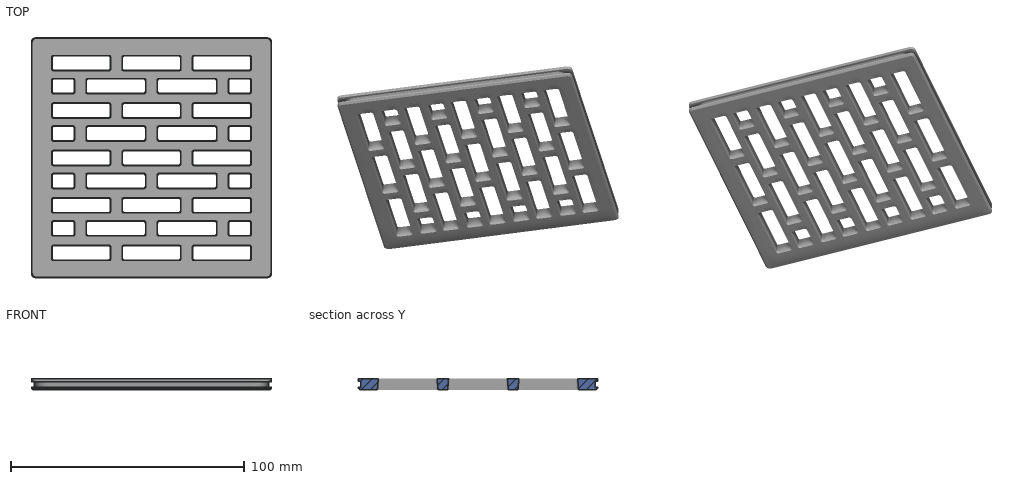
import cadquery as cq

side = 102.7
height = 4.8
corner_radius = 2.0

flange_height = 1.2
flange_chamfer = 0.77
lid_height = 1.3
core_height = height - flange_height - lid_height

groove_depth = 1.0
core_corner_radius = 6.4

slot_height = 6.3
slot_radius = 0.7
slot_draft = 5.0

course_count = 9
course_pitch = 10.2
field_shift = -0.1
offset_course_shift = 0.3
field_width = 85.3
slot_gap = 5.1
full_slot_length = (field_width - 2 * slot_gap) / 3
offset_slot_length = 25.4
end_slot_length = (field_width - 2 * offset_slot_length - 3 * slot_gap) / 2


def rounded_plate(width, radius, thickness, base):
    """Square plate with rounded corners, standing on the height base."""
    plate = cq.Workplane("XY").box(width, width, thickness, centered=(True, True, False))
    return plate.edges("|Z").fillet(radius).translate((0, 0, base))


def tapered_slot(length, x, y):
    """Cutter for one through slot, drafted outward from the top face down."""
    outline = cq.Sketch().rect(length, slot_height).vertices().fillet(slot_radius)
    top_face = cq.Workplane("XY", origin=(x, y, height))
    return top_face.placeSketch(outline).extrude(-height, taper=-slot_draft)


def slot_course(lengths, y):
    """Cutters for one row of slots, centred on X = 0 and separated by slot_gap."""
    cutters = []
    left = -field_width / 2
    for length in lengths:
        cutters.append(tapered_slot(length, left + length / 2, y))
        left += length + slot_gap
    return cutters


flange = rounded_plate(side, corner_radius, flange_height, 0)
flange = flange.faces("<Z").chamfer(flange_chamfer)
core = rounded_plate(side - 2 * groove_depth, core_corner_radius, core_height, flange_height)
lid = rounded_plate(side, corner_radius, lid_height, flange_height + core_height)
result = flange.union(core).union(lid)

full_course = [full_slot_length] * 3
offset_course = [end_slot_length, offset_slot_length, offset_slot_length, end_slot_length]
for index in range(course_count):
    course_y = field_shift + (index - (course_count - 1) / 2) * course_pitch
    lengths = full_course
    if index % 2 == 1:
        lengths = offset_course
        course_y += offset_course_shift
    for cutter in slot_course(lengths, course_y):
        result = result.cut(cutter)